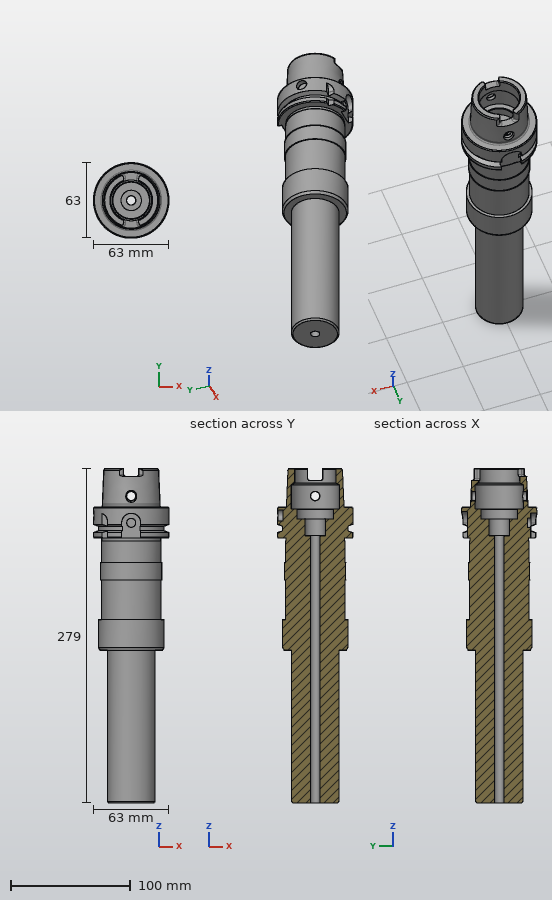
import cadquery as cq
import math


shank_length = 32.0
total_length = 279.0
flange_depth = 26.0
neck_depth = 28.5
band_top_depth = 46.3
band_bottom_depth = 60.8
collar_top_depth = 93.7
collar_bottom_depth = 119.5
tail_depth = total_length - shank_length

flange_diameter = 63.0
groove_diameter = 55.0
neck_diameter = 49.5
body_diameter = 50.0
band_diameter = 51.3
collar_diameter = 55.0
tail_diameter = 40.0

root_diameter = 48.3
taper_start = 2.5
taper_slope = 0.04
root_fillet = 1.0
tip_chamfer_radial = 0.8
tip_chamfer_axial = 1.5

groove_mid_depth = 17.9
groove_floor_width = 3.5
groove_mouth_width = 7.0
flange_chamfer = 0.8

collar_chamfer_radial = 1.5
collar_chamfer_axial = 2.5
tail_chamfer = 1.5

mouth_diameter = 34.0
mouth_chamfer = 0.8
mouth_depth = 12.0
clamp_diameter = 40.0
clamp_shoulder_height = 1.7
clamp_depth = 33.5
pocket_diameter = 30.5
pocket_rim_diameter = 31.5
pocket_depth = 41.8
tube_bore_diameter = 17.0
tube_bore_depth = 55.8
coolant_diameter = 7.5

tip_slot_width = 12.5
tip_slot_depth_front = 6.5
tip_slot_depth_back = 9.8
tip_slot_flare = 2.5
tip_slot_fillet = 1.7

access_diameter = 7.5
access_rim_diameter = 10.0
access_height = 9.2

key_floor = 26.5
key_width_front = 16.0
key_width_back = 18.0
key_arch_depth = 13.0
key_hole_diameter = 7.5
key_hole_depth = 2.8

chip_diameter = 9.0
chip_hole_depth = 4.5
chip_centre_depth = 7.0

notch_offset = 19.8
notch_diameter = 13.0
notch_arch_depth = 11.7

flange_radius = flange_diameter / 2
tip_radius = root_diameter / 2 - taper_slope * (shank_length - taper_start)


def turned_body():
    """Solid of revolution with all the outer steps."""
    root_radius = root_diameter / 2
    fillet_mid = root_fillet * (1 - math.sqrt(0.5))
    groove_radius = groove_diameter / 2
    collar_radius = collar_diameter / 2
    tail_radius = tail_diameter / 2
    profile = (
        cq.Workplane("XZ")
        .moveTo(0, shank_length)
        .lineTo(tip_radius - tip_chamfer_radial, shank_length)
        .lineTo(tip_radius, shank_length - tip_chamfer_axial)
        .lineTo(root_radius, taper_start)
        .lineTo(root_radius, root_fillet)
        .threePointArc((root_radius + fillet_mid, fillet_mid), (root_radius + root_fillet, 0))
        .lineTo(flange_radius - flange_chamfer, 0)
        .lineTo(flange_radius, -flange_chamfer)
        .lineTo(flange_radius, -groove_mid_depth + groove_mouth_width / 2)
        .lineTo(groove_radius, -groove_mid_depth + groove_floor_width / 2)
        .lineTo(groove_radius, -groove_mid_depth - groove_floor_width / 2)
        .lineTo(flange_radius, -groove_mid_depth - groove_mouth_width / 2)
        .lineTo(flange_radius, -flange_depth + flange_chamfer)
        .lineTo(flange_radius - flange_chamfer, -flange_depth)
        .lineTo(neck_diameter / 2, -flange_depth)
        .lineTo(neck_diameter / 2, -neck_depth)
        .lineTo(body_diameter / 2, -neck_depth)
        .lineTo(body_diameter / 2, -band_top_depth)
        .lineTo(band_diameter / 2, -band_top_depth)
        .lineTo(band_diameter / 2, -band_bottom_depth)
        .lineTo(body_diameter / 2, -band_bottom_depth)
        .lineTo(body_diameter / 2, -collar_top_depth)
        .lineTo(collar_radius, -collar_top_depth)
        .lineTo(collar_radius, -collar_bottom_depth + collar_chamfer_axial)
        .lineTo(collar_radius - collar_chamfer_radial, -collar_bottom_depth)
        .lineTo(tail_radius, -collar_bottom_depth)
        .lineTo(tail_radius, -tail_depth + tail_chamfer)
        .lineTo(tail_radius - tail_chamfer, -tail_depth)
        .lineTo(0, -tail_depth)
        .close()
    )
    return profile.revolve(360, (0, 0, 0), (0, 1, 0))


def stepped_bore():
    """Bore from the shank tip, with the coolant passage through the whole holder."""
    mouth_radius = mouth_diameter / 2
    clamp_radius = clamp_diameter / 2
    pocket_radius = pocket_diameter / 2
    pocket_chamfer = (pocket_rim_diameter - pocket_diameter) / 2
    profile = (
        cq.Workplane("XZ")
        .moveTo(0, shank_length)
        .lineTo(mouth_radius + mouth_chamfer, shank_length)
        .lineTo(mouth_radius, shank_length - mouth_chamfer)
        .lineTo(mouth_radius, shank_length - mouth_depth)
        .lineTo(clamp_radius, shank_length - mouth_depth - clamp_shoulder_height)
        .lineTo(clamp_radius, shank_length - clamp_depth)
        .lineTo(pocket_radius + pocket_chamfer, shank_length - clamp_depth)
        .lineTo(pocket_radius, shank_length - clamp_depth - pocket_chamfer)
        .lineTo(pocket_radius, shank_length - pocket_depth)
        .lineTo(tube_bore_diameter / 2, shank_length - pocket_depth)
        .lineTo(tube_bore_diameter / 2, shank_length - tube_bore_depth)
        .lineTo(coolant_diameter / 2, shank_length - tube_bore_depth)
        .lineTo(coolant_diameter / 2, -tail_depth)
        .lineTo(0, -tail_depth)
        .close()
    )
    return profile.revolve(360, (0, 0, 0), (0, 1, 0))


def tip_slot(depth):
    """Cutter for the -Y drive slot: straight walls that round off into the taper."""
    half_width = tip_slot_width / 2
    arc_x = half_width + tip_slot_flare
    arc_y = math.sqrt((tip_radius - tip_slot_flare) ** 2 - arc_x**2)
    end_angle = math.atan2(arc_y, arc_x)
    mid_angle = (math.pi + end_angle) / 2
    mid_x = arc_x + tip_slot_flare * math.cos(mid_angle)
    mid_y = arc_y + tip_slot_flare * math.sin(mid_angle)
    end_x = tip_radius * math.cos(end_angle)
    end_y = tip_radius * math.sin(end_angle)
    return (
        cq.Workplane("XY", origin=(0, 0, shank_length - depth))
        .moveTo(-half_width, 0)
        .lineTo(-half_width, -arc_y)
        .threePointArc((-mid_x, -mid_y), (-end_x, -end_y))
        .lineTo(-end_x, -flange_radius)
        .lineTo(end_x, -flange_radius)
        .lineTo(end_x, -end_y)
        .threePointArc((mid_x, -mid_y), (half_width, -arc_y))
        .lineTo(half_width, 0)
        .close()
        .extrude(2 * depth)
        .faces("<Z")
        .edges()
        .fillet(tip_slot_fillet)
    )


def access_holes():
    """Radial hole through both shank walls, countersunk outside."""
    hole = cq.Workplane("XZ", origin=(0, 0, access_height)).circle(access_diameter / 2)
    hole = hole.extrude(flange_radius, both=True)
    rim_depth = (access_rim_diameter - access_diameter) / 2
    surface = root_diameter / 2 - taper_slope * (access_height - taper_start)
    rim = cq.Solid.makeCone(
        access_diameter / 2,
        access_rim_diameter / 2 + rim_depth,
        2 * rim_depth,
        cq.Vector(0, -surface + rim_depth, access_height),
        cq.Vector(0, -1, 0),
    )
    return hole.union(cq.Workplane(rim)).union(cq.Workplane(rim.mirror("XZ")))


def key_slot(width):
    """Cutter for the -Y key slot, rounded at the top and open at the flange bottom."""
    start = cq.Workplane("XZ", origin=(0, -key_floor, -key_arch_depth))
    length = flange_depth - key_arch_depth
    arch = start.circle(width / 2).extrude(flange_radius)
    return arch.union(start.center(0, -length / 2).rect(width, length).extrude(flange_radius))


def key_hole():
    start = cq.Workplane("XZ", origin=(0, -key_floor + key_hole_depth, -key_arch_depth))
    return start.circle(key_hole_diameter / 2).extrude(flange_radius)


def chip_hole():
    start = cq.Workplane("YZ", origin=(-flange_radius + chip_hole_depth, 0, -chip_centre_depth))
    return start.circle(chip_diameter / 2).extrude(-flange_radius)


def corner_notch():
    """Notch in the -X -Y corner of the flange, rounded at the top and open below."""
    centre_x = -notch_offset - notch_diameter / 2
    length = flange_depth - notch_arch_depth
    start = cq.Workplane("XZ", origin=(centre_x, -notch_offset, -notch_arch_depth))
    arch = start.circle(notch_diameter / 2).extrude(flange_radius)
    return arch.union(start.center(0, -length / 2).rect(notch_diameter, length).extrude(flange_radius))


result = (
    turned_body()
    .cut(stepped_bore())
    .cut(tip_slot(tip_slot_depth_front))
    .cut(tip_slot(tip_slot_depth_back).mirror("XZ"))
    .cut(access_holes())
    .cut(key_slot(key_width_front))
    .cut(key_slot(key_width_back).mirror("XZ"))
    .cut(key_hole())
    .cut(chip_hole())
    .cut(corner_notch())
)